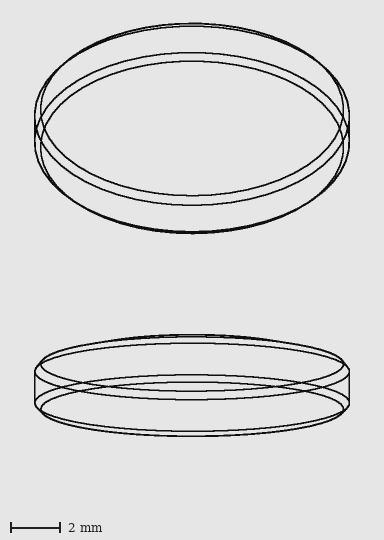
import cadquery as cq

diameter = 12.7
height = 2.69
bevel_width = 0.24
lower_bevel_height = 0.25
upper_bevel_height = 0.3
dome_rise = 0.84

rim_radius = diameter / 2
face_radius = rim_radius - bevel_width
dome_edge_z = height - dome_rise

sphere_radius = (face_radius**2 + dome_rise**2) / (2 * dome_rise)
sphere_center_z = height - sphere_radius

mid_radius = face_radius / 2
mid_z = sphere_center_z + (sphere_radius**2 - mid_radius**2) ** 0.5

half_section = (
    cq.Workplane("XZ")
    .moveTo(0, 0)
    .lineTo(face_radius, 0)
    .lineTo(rim_radius, lower_bevel_height)
    .lineTo(rim_radius, dome_edge_z - upper_bevel_height)
    .lineTo(face_radius, dome_edge_z)
    .threePointArc((mid_radius, mid_z), (0, height))
    .close()
)

result = half_section.revolve(360, (0, 0, 0), (0, 1, 0))